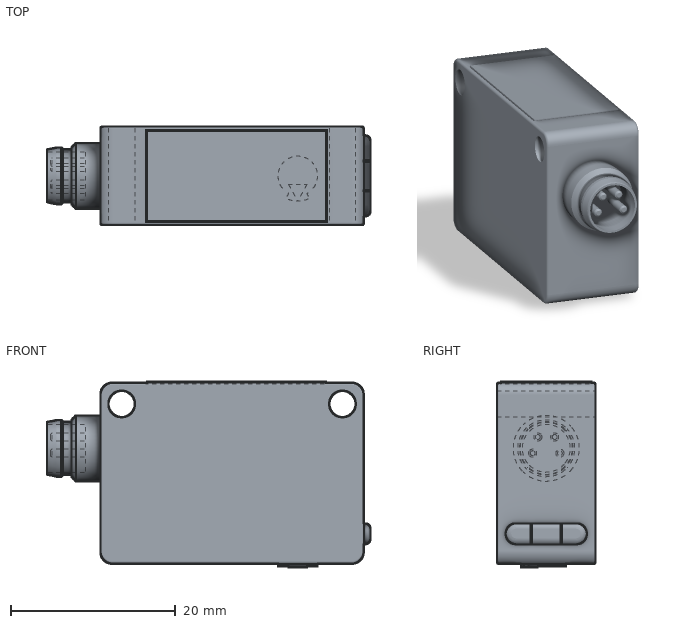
import cadquery as cq
import math

body_length = 32.0
body_width = 12.0
body_height = 22.0
corner_radius = 1.5
edge_radius = 0.295

mount_diameter = 3.2
mount_inset = 2.6

cover_length = 21.95
cover_width = 11.15
cover_offset = 5.55
cover_rise = 0.138
cover_gap = 0.1
cover_gap_depth = 0.15

plug_z = 14.03
plug_length = 6.5
plug_base_diameter = 8.0
plug_rim_diameter = 6.9
plug_neck_diameter = 6.5
plug_bore_diameter = 5.8
plug_bore_depth = 4.7
tip_bevel_length = 0.15
tip_bevel_height = 0.08
rim_start = 1.2
rim_end = 1.73
neck_start = 1.95
shoulder_start = 3.0
base_start = 3.55

pin_diameter = 1.0
pin_chamfer = 0.2
pin_recess = 0.45
pin_places = [(1.02, 1.38), (-1.02, 1.38), (1.65, -0.6), (-1.65, -0.6)]

window_length = 9.85
window_height = 2.55
window_thickness = 0.83
window_z = 3.65
window_round = 0.7
window_gap = 0.15
window_gap_y = 1.8

dial_x = 23.97
dial_radius = 2.4
dial_thickness = 0.295
tab_radius = 3.05
tab_half_angle = math.radians(27.5)
arrow_base_y = -1.05
arrow_half_width = 1.1
arrow_thickness = 0.1


def make_housing():
    block = cq.Workplane("XY").box(body_length, body_width, body_height, centered=(False, True, False))
    block = block.edges("|Y").fillet(corner_radius)
    block = block.faces("<Y or >Y").edges().fillet(edge_radius)
    hole_z = body_height - mount_inset
    return block.cut(
        cq.Workplane("XZ")
        .pushPoints([(mount_inset, hole_z), (body_length - mount_inset, hole_z)])
        .circle(mount_diameter / 2)
        .extrude(body_width / 2, both=True)
    )


def cover_block(length, width, bottom, top):
    center_x = cover_offset + cover_length / 2
    return cq.Workplane("XY", origin=(center_x, 0, bottom)).rect(length, width).extrude(top - bottom)


def make_cover_recess():
    return cover_block(cover_length, cover_width, body_height - cover_gap_depth, body_height)


def make_cover():
    return cover_block(
        cover_length - 2 * cover_gap,
        cover_width - 2 * cover_gap,
        body_height - cover_gap_depth,
        body_height + cover_rise,
    )


def make_plug():
    neck_radius = plug_neck_diameter / 2
    rim_radius = plug_rim_diameter / 2
    base_radius = plug_base_diameter / 2
    profile = [
        (0, 0),
        (0, neck_radius - tip_bevel_height),
        (tip_bevel_length, neck_radius),
        (rim_start, rim_radius),
        (rim_end, rim_radius),
        (neck_start, neck_radius),
        (shoulder_start, neck_radius),
        (shoulder_start, rim_radius),
        (base_start, base_radius),
        (plug_length, base_radius),
        (plug_length, 0),
    ]
    shell = cq.Workplane("XY").polyline(profile).close().revolve(360, (0, 0, 0), (1, 0, 0))
    shell = shell.cut(cq.Workplane("YZ").circle(plug_bore_diameter / 2).extrude(plug_bore_depth))
    pins = (
        cq.Workplane("YZ", origin=(pin_recess, 0, 0))
        .pushPoints(pin_places)
        .circle(pin_diameter / 2)
        .extrude(plug_bore_depth - pin_recess)
        .faces("<X")
        .chamfer(pin_chamfer)
    )
    return shell.union(pins).translate((-plug_length, 0, plug_z))


def make_window():
    window = (
        cq.Workplane("YZ")
        .slot2D(window_length, window_height)
        .extrude(window_thickness)
        .faces(">X")
        .edges()
        .fillet(window_round)
    )
    gaps = (
        cq.Workplane("YZ")
        .pushPoints([(-window_gap_y, 0), (window_gap_y, 0)])
        .rect(window_gap, window_height)
        .extrude(window_thickness)
    )
    return window.cut(gaps).translate((body_length, 0, window_z))


def make_dial():
    tab_x = tab_radius * math.sin(tab_half_angle)
    tab_y = -tab_radius * math.cos(tab_half_angle)
    disc = cq.Workplane("XY").circle(dial_radius).extrude(-dial_thickness)
    tab = (
        cq.Workplane("XY")
        .lineTo(-tab_x, tab_y)
        .threePointArc((0, -tab_radius), (tab_x, tab_y))
        .close()
        .extrude(-dial_thickness)
    )
    arrow = (
        cq.Workplane("XY")
        .polyline([(-arrow_half_width, arrow_base_y), (arrow_half_width, arrow_base_y), (0, -tab_radius)])
        .close()
        .extrude(-dial_thickness - arrow_thickness)
    )
    return disc.union(tab).union(arrow).translate((dial_x, 0, 0))


result = make_housing().cut(make_cover_recess())
for attachment in (make_cover(), make_plug(), make_window(), make_dial()):
    result = result.union(attachment)